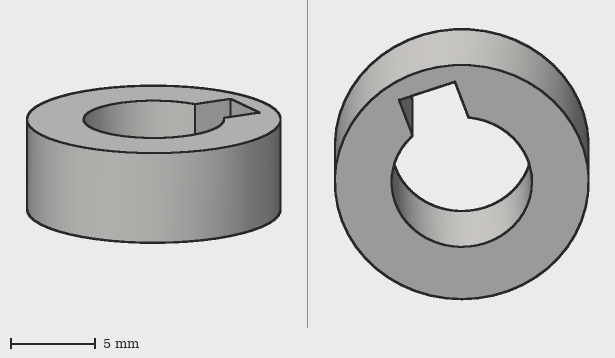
import cadquery as cq

outer_diameter = 15.0
bore_diameter = 8.3
height = 5.5

keyway_width = 3.5
keyway_reach = 6.18

ring = (
    cq.Workplane("XY")
    .circle(outer_diameter / 2)
    .circle(bore_diameter / 2)
    .extrude(height)
)

keyway = cq.Workplane("XY").box(
    keyway_width, keyway_reach, height, centered=(True, False, False)
)

result = ring.cut(keyway)